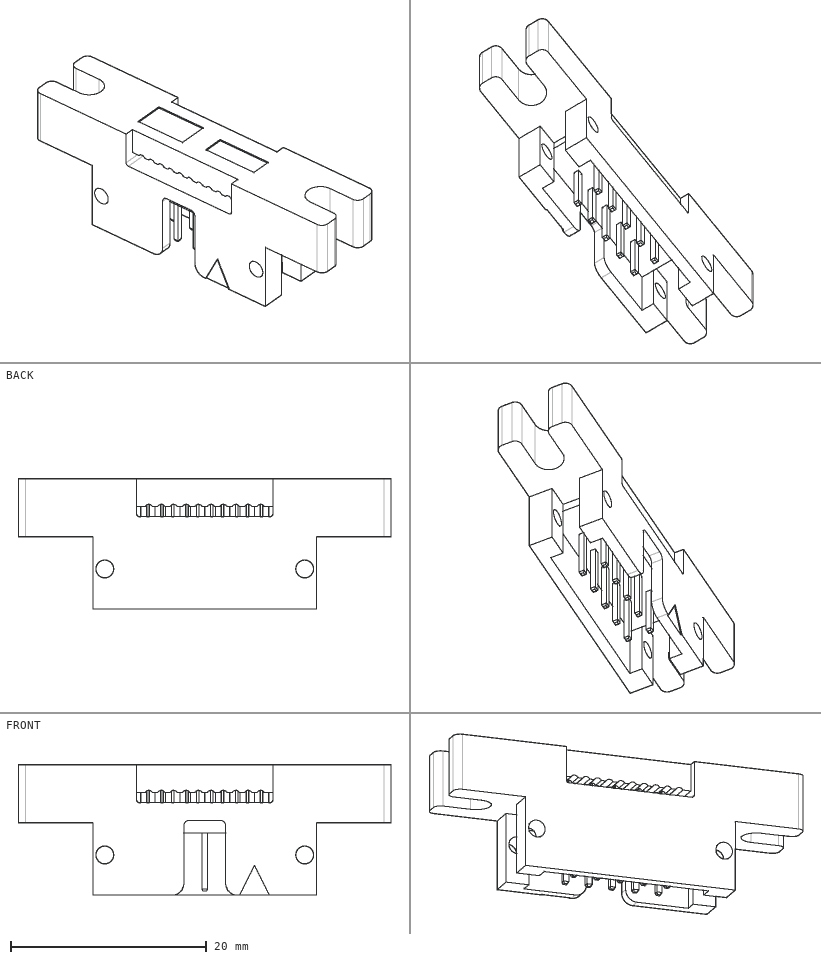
import cadquery as cq

LENGTH = 38.1
WIDTH = 8.4
HEIGHT = 13.35
BAR_HEIGHT = 5.95
BAR_BOTTOM = HEIGHT - BAR_HEIGHT
BODY_LENGTH = 22.85

FORK_SLOT_WIDTH = 3.12
FORK_SLOT_DEPTH = 5.35
FORK_CORNER_RADIUS = 0.75

CHANNEL_WIDTH = 3.12
CAVITY_CEILING = 6.35
CAVITY_LENGTH = 17.9
WALL_THICKNESS = 1.22
CAVITY_WIDTH = WIDTH - 2 * WALL_THICKNESS

HOLE_DIAMETER = 1.8
HOLE_SPACING = 20.42
HOLE_HEIGHT = 4.1

WINDOW_WIDTH = 4.25
WINDOW_TOP = 7.65
WINDOW_TOP_RADIUS = 0.57
WINDOW_MOUTH_RADIUS = 1.22

POCKET_LENGTH = 13.9
POCKET_DEPTH = 1.03
SLOT_FLOOR = HEIGHT - 3.9
SLOT_CEILING = HEIGHT - 2.85
SLOT_CORNER_RADIUS = 0.3

WIRE_COUNT = 10
PITCH = 3.8 / 3
GROOVE_RADIUS = 0.42
GROOVE_AXIS_DROP = 0.2
GROOVE_TOP = SLOT_CEILING - GROOVE_AXIS_DROP + GROOVE_RADIUS

ROW_COUNT = 2
CONTACTS_PER_ROW = WIRE_COUNT // ROW_COUNT
ROW_PITCH = ROW_COUNT * PITCH
ROW_OFFSET = 1.25
BLADE_WIDTH = 1.5
BLADE_GAP = 0.23
BLADE_THICKNESS = 0.4
BLADE_SHIFT = 0.72
PIN_SIZE = 0.57
PIN_BOTTOM = 0.42
PIN_TIP_HEIGHT = 0.23
PIN_TIP_INSET = 0.1

MARK_WIDTH = 3.05
MARK_HEIGHT = 3.05
MARK_DEPTH = 0.1
MARK_X = 2 * ROW_PITCH

PANELS = [(-4.5, 5.85, 3.35), (4.25, 6.35, 2.32)]
PANEL_DEPTH = 0.15

OVERLAP = 0.2


def box(x_size, y_size, bottom, top, x=0):
    """Box centred on X = x and Y = 0 between two heights."""
    blank = cq.Workplane("XY").box(x_size, y_size, top - bottom, centered=(True, True, False))
    return blank.translate((x, 0, bottom))


def centred_positions(count, pitch):
    """Evenly spaced positions, symmetric about zero."""
    return [(index - (count - 1) / 2) * pitch for index in range(count)]


def make_bar():
    """Top bar with a round-ended slot at each end."""
    bar = box(LENGTH, WIDTH, BAR_BOTTOM, HEIGHT)
    for side in (-1, 1):
        slot = (
            cq.Workplane("XY", origin=(side * LENGTH / 2, 0, BAR_BOTTOM))
            .slot2D(2 * FORK_SLOT_DEPTH, FORK_SLOT_WIDTH)
            .extrude(BAR_HEIGHT)
        )
        bar = bar.cut(slot)
    end_faces = bar.faces("<X or >X")
    return end_faces.edges("|Z").fillet(FORK_CORNER_RADIUS)


def make_body():
    """Lower body: two drilled legs with an open channel and a wider cavity between them."""
    body = box(BODY_LENGTH, WIDTH, 0, BAR_BOTTOM)
    core = box(CAVITY_LENGTH, CHANNEL_WIDTH, CAVITY_CEILING, BAR_BOTTOM)
    channel = box(BODY_LENGTH, CHANNEL_WIDTH, 0, BAR_BOTTOM).cut(core)
    cavity = box(CAVITY_LENGTH, CAVITY_WIDTH, 0, CAVITY_CEILING)
    body = body.cut(channel).cut(cavity)
    holes = (
        cq.Workplane("XZ", origin=(0, WIDTH / 2, HOLE_HEIGHT))
        .pushPoints([(-HOLE_SPACING / 2, 0), (HOLE_SPACING / 2, 0)])
        .circle(HOLE_DIAMETER / 2)
        .extrude(WIDTH)
    )
    return body.cut(holes)


def make_window():
    """Cutter for the front leg: rounded at the top, flared at the open bottom."""
    half = WINDOW_WIDTH / 2
    mouth_half = half + WINDOW_MOUTH_RADIUS
    stem = box(WINDOW_WIDTH, WALL_THICKNESS, 0, WINDOW_TOP)
    stem = stem.faces(">Z").edges("|Y").fillet(WINDOW_TOP_RADIUS)
    flare = box(2 * mouth_half, WALL_THICKNESS, 0, WINDOW_MOUTH_RADIUS)
    rounds = (
        cq.Workplane("XZ", origin=(0, WALL_THICKNESS / 2, WINDOW_MOUTH_RADIUS))
        .pushPoints([(-mouth_half, 0), (mouth_half, 0)])
        .circle(WINDOW_MOUTH_RADIUS)
        .extrude(WALL_THICKNESS)
    )
    window = stem.union(flare.cut(rounds))
    return window.translate((0, -(WIDTH - WALL_THICKNESS) / 2, 0))


def make_cable_cutter():
    """Cutter for the side pockets and for the grooved slot between them."""
    pocket = box(POCKET_LENGTH, WIDTH, SLOT_FLOOR, HEIGHT)
    pocket = pocket.faces("<Z").edges("|Y").fillet(SLOT_CORNER_RADIUS)
    cover = box(POCKET_LENGTH, WIDTH - 2 * POCKET_DEPTH, SLOT_CEILING, HEIGHT)
    grooves = (
        cq.Workplane("XZ", origin=(0, WIDTH / 2, SLOT_CEILING - GROOVE_AXIS_DROP))
        .pushPoints([(x, 0) for x in centred_positions(WIRE_COUNT, PITCH)])
        .circle(GROOVE_RADIUS)
        .extrude(WIDTH)
    )
    return pocket.cut(cover.cut(grooves))


def make_blade():
    """Forked blade that stands across the cable slot."""
    blade = box(BLADE_WIDTH, BLADE_THICKNESS, SLOT_FLOOR - OVERLAP, GROOVE_TOP + OVERLAP)
    return blade.cut(box(BLADE_GAP, BLADE_THICKNESS, SLOT_FLOOR, GROOVE_TOP))


def make_pin():
    """Square pin that hangs from the cavity ceiling, with a bevelled tip."""
    pin = box(PIN_SIZE, PIN_SIZE, PIN_BOTTOM, CAVITY_CEILING + OVERLAP)
    return pin.faces("<Z").chamfer(PIN_TIP_HEIGHT, PIN_TIP_INSET)


def make_mark():
    """Triangular cutter for the first-contact mark on the front face."""
    return (
        cq.Workplane("XZ", origin=(MARK_X, -WIDTH / 2 + MARK_DEPTH, 0))
        .polyline([(-MARK_WIDTH / 2, 0), (MARK_WIDTH / 2, 0), (0, MARK_HEIGHT)])
        .close()
        .extrude(MARK_DEPTH)
    )


result = make_bar().union(make_body())
result = result.cut(make_window()).cut(make_cable_cutter()).cut(make_mark())
for panel_x, panel_length, panel_width in PANELS:
    result = result.cut(box(panel_length, panel_width, HEIGHT - PANEL_DEPTH, HEIGHT, x=panel_x))

blade = make_blade()
pin = make_pin()
for side in (-1, 1):
    for x in centred_positions(CONTACTS_PER_ROW, ROW_PITCH):
        result = result.union(blade.translate((x + side * BLADE_SHIFT, side * ROW_OFFSET, 0)))
        result = result.union(pin.translate((x, side * ROW_OFFSET, 0)))